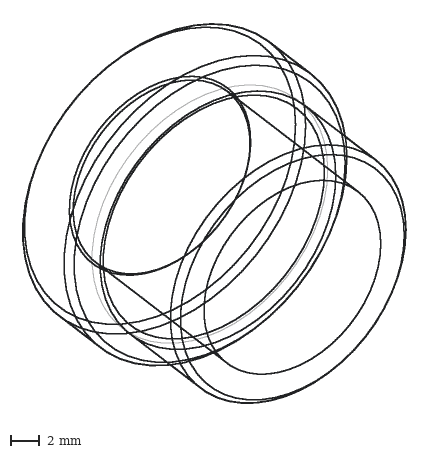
import cadquery as cq

length = 16.0
flange_diameter = 24.0
flange_length = 6.0
shank_diameter = 20.0
bore_diameter = 15.0

outer_chamfer = 0.5
bore_chamfer = 0.2
groove_radius = 0.5

flange_radius = flange_diameter / 2
shank_radius = shank_diameter / 2
bore_radius = bore_diameter / 2


def bushing_body():
    """Revolve the flanged outline about X, with the flange face at X = 0."""
    outline = (
        cq.Workplane("XY")
        .lineTo(0, flange_radius - outer_chamfer)
        .lineTo(outer_chamfer, flange_radius)
        .lineTo(flange_length - outer_chamfer, flange_radius)
        .lineTo(flange_length, flange_radius - outer_chamfer)
        .lineTo(flange_length, shank_radius)
        .threePointArc(
            (flange_length + groove_radius, shank_radius - groove_radius),
            (flange_length + 2 * groove_radius, shank_radius),
        )
        .lineTo(length - outer_chamfer, shank_radius)
        .lineTo(length, shank_radius - outer_chamfer)
        .lineTo(length, 0)
        .close()
    )
    return outline.revolve(360, (0, 0, 0), (1, 0, 0))


def bore():
    """Through bore, widened by a small chamfer at the flange face."""
    hole = cq.Workplane("YZ").circle(bore_radius).extrude(length)
    entry = cq.Solid.makeCone(
        bore_radius + bore_chamfer,
        bore_radius,
        bore_chamfer,
        pnt=cq.Vector(0, 0, 0),
        dir=cq.Vector(1, 0, 0),
    )
    return hole.union(cq.Workplane(obj=entry))


result = bushing_body().cut(bore())